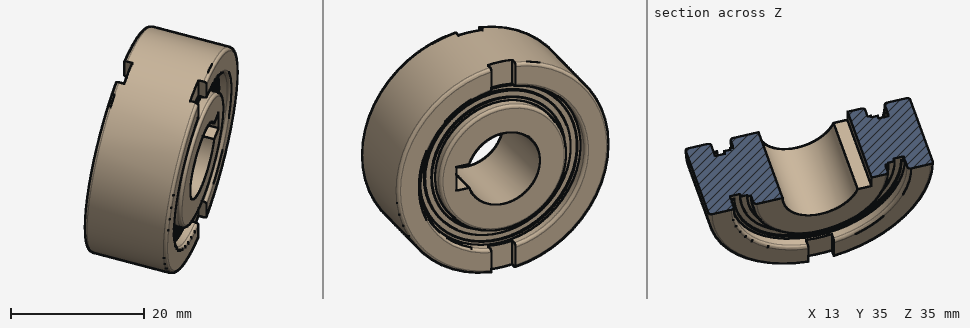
import cadquery as cq

width = 13.0
outer_radius = 17.5
bore_radius = 6.0
hub_radius = 10.5
edge_radius = 0.5
half_width = width / 2

rim_inner_radius = 13.5
lip_inner_radius = 13.0
shield_radius = 12.0
collar_radius = 11.0
lip_depth = 1.75
lip_thickness = 0.25
groove_depth = 2.5
shield_depth = 2.0
collar_depth = 1.75

slot_width = 4.0
slot_depth = 1.3

key_width = 4.0
key_reach = 7.8


def disc(radius, inset):
    """Centred disc on the X axis, with both faces set in from the end faces of the body."""
    return cq.Workplane("YZ").circle(radius).extrude(half_width - inset, both=True)


def round_end_edges(body):
    """Round all circular edges of both end faces."""
    return body.faces("<X or >X").edges().fillet(edge_radius)


def make_rim():
    """Outer ring with rounded end edges and a thin sealing lip near each end."""
    rim = round_end_edges(disc(outer_radius, 0).cut(disc(rim_inner_radius, 0)))
    lips = disc(rim_inner_radius, lip_depth)
    lips = lips.cut(disc(rim_inner_radius, lip_depth + lip_thickness))
    lips = lips.cut(disc(lip_inner_radius, lip_depth))
    return rim.union(lips)


def make_hub():
    """Hub with rounded end edges, carrying the collars, shields and the web out to the rim."""
    hub = round_end_edges(disc(hub_radius, 0))
    steps = (
        (collar_radius, collar_depth),
        (shield_radius, shield_depth),
        (rim_inner_radius, groove_depth),
    )
    for radius, depth in steps:
        hub = hub.union(disc(radius, depth))
    return hub


def cut_slots(body):
    """Cut a slot along Z across the rim in both end faces, leaving the hub whole."""
    for side in (-1, 1):
        slot = cq.Workplane("XY").box(slot_depth, slot_width, 2 * outer_radius)
        slot = slot.translate((side * (half_width - slot_depth / 2), 0, 0))
        body = body.cut(slot.cut(disc(hub_radius, 0)))
    return body


def cut_bore(body):
    """Cut the through bore and its keyway."""
    keyway = cq.Workplane("XY").box(width, key_reach, key_width).translate((0, key_reach / 2, 0))
    return body.cut(disc(bore_radius, 0)).cut(keyway)


result = cut_bore(cut_slots(make_rim().union(make_hub())))